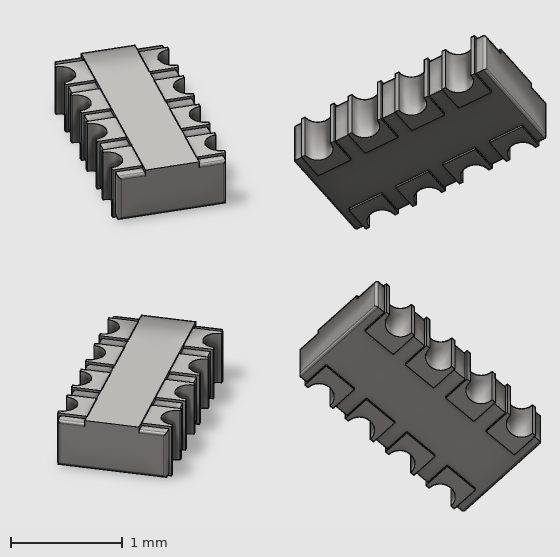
import cadquery as cq

body_length = 2.05
body_width = 1.0
body_height = 0.45
end_radius = 0.025

plating = 0.025
terminal_count = 4
terminal_pitch = 0.5
terminal_length = 0.35
notch_radius = 0.135

band_width = 0.5
band_rise = 0.01

outer_width = body_width + 2 * plating
terminal_height = body_height + 2 * plating
terminal_reach = (outer_width - band_width) / 2
first_terminal_x = -terminal_pitch * (terminal_count - 1) / 2
terminal_xs = [first_terminal_x + i * terminal_pitch for i in range(terminal_count)]


def make_body():
    """Block centred on the origin, with all edges of its two end faces rounded."""
    block = cq.Workplane("XY").box(body_length, body_width, body_height)
    return block.faces("<X or >X").edges().fillet(end_radius)


def make_band():
    """Full-length strip whose square ends replace the rounding at the top of the body."""
    band_bottom = body_height / 2 - end_radius
    band_top = terminal_height / 2 + band_rise
    return (
        cq.Workplane("XY", origin=(0, 0, band_bottom))
        .rect(body_length, band_width)
        .extrude(band_top - band_bottom)
    )


def make_terminal(x, side):
    """Block from the band edge to the outer side; with the body it forms a C-shaped wrap."""
    y = side * (outer_width - terminal_reach) / 2
    return cq.Workplane("XY").box(terminal_length, terminal_reach, terminal_height).translate((x, y, 0))


def make_notch(x, side):
    """Vertical cylinder centred on the outer side of a terminal."""
    y = side * outer_width / 2
    return cq.Workplane("XY").cylinder(terminal_height, notch_radius).translate((x, y, 0))


result = make_body().union(make_band())
for side in (-1, 1):
    for x in terminal_xs:
        result = result.union(make_terminal(x, side)).cut(make_notch(x, side))